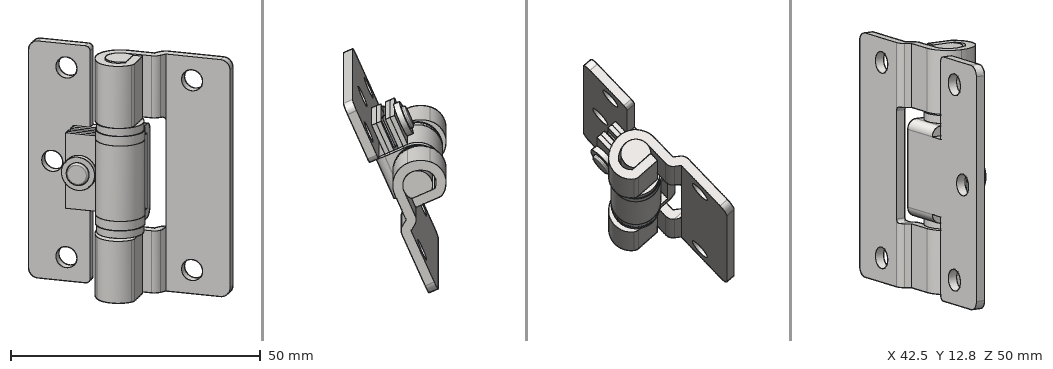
import cadquery as cq
import math

height = 50.0
half_height = height / 2
sheet = 2.0
leaf_left = -21.0
leaf_right = 21.5
corner_radius = 2.0
screw_hole_radius = 2.2
screw_hole_height = 20.0

pin_radius = 3.0
knuckle_radius = pin_radius + sheet
leaf_front = knuckle_radius
leaf_back = leaf_front + sheet

knuckle_bottom = 11.9
curl_depth = 5.8
side_radius = 6.5
side_angle = math.radians(40)
lip_start = 3.7
lip_foot = -2.95
lip_inner = 2.0
lip_outer = lip_inner + sheet
lip_end = 2.2
jog_angle = math.radians(55)
jog_end = 8.0
jog_start = jog_end - sheet / math.sin(jog_angle)
cutout_radius = 0.8
fixed_hole_x = 13.5

ear_inner = 7.95
ear_outer = ear_inner + sheet
moving_inner_edge = -8.0
moving_inner_radius = 1.0
ear_flat = 4.0
moving_hole_x = -13.0
moving_middle_hole_x = -16.0

washer_radius = 4.8
washer_height = 1.65

band = 1.0
half_clamp = ear_inner
inner_band_radius = pin_radius + band
flange_end = -11.5
flange_bottom = 0.0

bolt_x = -8.5
bolt_radius = 2.0
bolt_end_radius = 2.35
bolt_end = -1.95
bolt_rounding = 0.35
nut_radius = 3.5
nut_thickness = 1.25
spring_thickness = 0.35
spring_end = -knuckle_radius
spring_foot = 5.5
spring_crown = 3.6
spring_front = flange_bottom + 2 * band
spring_back = pin_radius


def block(x0, x1, y0, y1, z0, z1):
    return cq.Workplane("XY").box(x1 - x0, y1 - y0, z1 - z0, centered=False).translate((x0, y0, z0))


def z_cylinder(radius, z0, z1):
    return cq.Workplane("XY").workplane(offset=z0).circle(radius).extrude(z1 - z0)


def y_cylinder(radius, x, y0, y1, z=0.0):
    return cq.Workplane("XZ", origin=(x, y0, z)).circle(radius).extrude(y0 - y1)


def drill_screw_holes(leaf, places):
    for x, z in places:
        leaf = leaf.cut(y_cylinder(screw_hole_radius, x, leaf_front, leaf_back, z))
    return leaf


def make_fixed_leaf():
    """Sheet with a jog, curled round the pin and ending in a straight lip."""
    bend_x, bend_y = sheet * math.sin(jog_angle), sheet * math.cos(jog_angle)
    bend_mid_x, bend_mid_y = sheet * math.sin(jog_angle / 2), sheet * math.cos(jog_angle / 2)
    side_centre_x = side_radius - knuckle_radius
    side_sine = math.sin(side_angle)
    bottom_radius = (curl_depth - side_radius * side_sine) / (1 - side_sine)
    bottom_centre = (
        side_centre_x - (side_radius - bottom_radius) * math.cos(side_angle),
        bottom_radius - curl_depth,
    )

    def side_point(inset, angle):
        radius = side_radius - inset
        return (side_centre_x - radius * math.cos(angle), -radius * math.sin(angle))

    def bottom_point(inset, x):
        reach = math.sqrt((bottom_radius - inset)**2 - (x - bottom_centre[0])**2)
        return (x, bottom_centre[1] - reach)

    diagonal = math.sqrt(0.5)
    profile = (
        cq.Workplane("XY", origin=(0, 0, -half_height))
        .moveTo(leaf_right, leaf_back)
        .lineTo(jog_end, leaf_back)
        .threePointArc(
            (jog_end - bend_mid_x, leaf_front + bend_mid_y),
            (jog_end - bend_x, leaf_front + bend_y),
        )
        .lineTo(jog_start, leaf_front)
        .lineTo(0, leaf_front)
        .threePointArc((-knuckle_radius * diagonal, knuckle_radius * diagonal), (-knuckle_radius, 0))
        .threePointArc(side_point(0, side_angle / 2), side_point(0, side_angle))
        .threePointArc(bottom_point(0, bottom_centre[0]), bottom_point(0, lip_start))
        .tangentArcPoint((lip_outer, lip_foot), relative=False)
        .lineTo(lip_outer, lip_end)
        .lineTo(lip_inner, lip_end)
        .lineTo(*bottom_point(sheet, lip_inner))
        .threePointArc(bottom_point(sheet, bottom_centre[0]), side_point(sheet, side_angle))
        .threePointArc(side_point(sheet, side_angle / 2), (-pin_radius, 0))
        .threePointArc((-pin_radius * diagonal, pin_radius * diagonal), (0, pin_radius))
        .lineTo(jog_start, pin_radius)
        .threePointArc(
            (jog_start + bend_mid_x, leaf_front - bend_mid_y),
            (jog_start + bend_x, leaf_front - bend_y),
        )
        .lineTo(jog_end, leaf_front)
        .lineTo(leaf_right, leaf_front)
        .close()
    )
    leaf = profile.extrude(height)
    leaf = leaf.edges("|Y and >X").fillet(corner_radius)
    cutout = block(-knuckle_radius, jog_end, -curl_depth, leaf_back, -knuckle_bottom, knuckle_bottom)
    leaf = leaf.cut(cutout.edges("|Y and >X").fillet(cutout_radius))
    holes = [(fixed_hole_x, side * screw_hole_height) for side in (-1, 1)]
    return drill_screw_holes(leaf, holes)


def make_ear(side):
    """Ear bent forward from the back plate, with the pin hole and a rounded front."""
    outline = (
        z_cylinder(knuckle_radius, ear_inner, ear_outer)
        .union(block(-knuckle_radius, ear_flat, 0, leaf_front, ear_inner, ear_outer))
    )
    bend = (
        cq.Workplane("YZ", origin=(-knuckle_radius, leaf_front, ear_inner))
        .circle(sheet)
        .extrude(knuckle_radius + ear_flat)
        .intersect(block(-knuckle_radius, ear_flat, leaf_front, leaf_back, ear_inner, ear_outer))
    )
    ear = outline.union(bend).cut(z_cylinder(pin_radius, ear_inner, ear_outer))
    return ear if side > 0 else ear.mirror("XY")


def make_moving_leaf():
    leaf = block(leaf_left, moving_inner_edge, leaf_front, leaf_back, -half_height, half_height)
    leaf = leaf.edges("|Y and <X").fillet(corner_radius)
    leaf = leaf.edges("|Y and >X").fillet(moving_inner_radius)
    leaf = leaf.union(block(moving_inner_edge, ear_flat, leaf_front, leaf_back, -ear_inner, ear_inner))
    for side in (-1, 1):
        leaf = leaf.union(make_ear(side))
    holes = [(moving_hole_x, side * screw_hole_height) for side in (-1, 1)]
    return drill_screw_holes(leaf, holes + [(moving_middle_hole_x, 0)])


def make_pin():
    """Round between the ears' outer faces, flattened beyond them for the lips."""
    pin = z_cylinder(pin_radius, -half_height, half_height)
    for z0, z1 in ((-half_height, -ear_outer), (ear_outer, half_height)):
        pin = pin.cut(block(lip_inner, pin_radius, -pin_radius, pin_radius, z0, z1))
    return pin


def make_washer(side):
    washer = z_cylinder(washer_radius, ear_outer, ear_outer + washer_height)
    washer = washer.cut(z_cylinder(pin_radius, ear_outer, ear_outer + washer_height))
    return washer if side > 0 else washer.mirror("XY")


def make_clamp_band(radius, lower_flange):
    """Band wrapped round the pin, its two ends running out as parallel flanges."""
    z_range = (-half_clamp, half_clamp)
    lower_top = lower_flange + band
    wrap = z_cylinder(radius, *z_range).cut(block(-radius, 0, lower_top, radius, *z_range))
    wrap = wrap.union(block(flange_end, 0, lower_flange, lower_top, *z_range))
    wrap = wrap.cut(z_cylinder(radius - band, *z_range))
    wrap = wrap.union(block(flange_end, 0, radius - band, radius, *z_range))
    return wrap.cut(y_cylinder(bolt_radius, bolt_x, flange_bottom, leaf_front))


def make_spring():
    """Thin bowed strip between the inner flanges."""
    crown_back = spring_front + spring_thickness
    foot_front = spring_back - spring_thickness
    spring = (
        cq.Workplane("YZ", origin=(flange_end, 0, 0))
        .polyline([
            (spring_back, -spring_foot),
            (foot_front, -spring_foot),
            (spring_front, -spring_crown),
            (spring_front, spring_crown),
            (foot_front, spring_foot),
            (spring_back, spring_foot),
            (crown_back, spring_crown),
            (crown_back, -spring_crown),
        ])
        .close()
        .extrude(spring_end - flange_end)
    )
    return spring.cut(y_cylinder(bolt_radius, bolt_x, spring_front, spring_back))


def make_nut():
    nut_front = flange_bottom - nut_thickness
    nut = y_cylinder(nut_radius, bolt_x, nut_front, flange_bottom)
    return nut.cut(y_cylinder(bolt_radius, bolt_x, nut_front, flange_bottom))


def make_bolt():
    end = y_cylinder(bolt_end_radius, bolt_x, bolt_end, flange_bottom - nut_thickness)
    end = end.faces("<Y").edges().fillet(bolt_rounding)
    return end.union(y_cylinder(bolt_radius, bolt_x, flange_bottom - nut_thickness, leaf_front))


fixed_leaf = make_fixed_leaf()
moving_leaf = make_moving_leaf()
pin = make_pin()
washers = [make_washer(side) for side in (-1, 1)]
outer_band = make_clamp_band(knuckle_radius, flange_bottom)
inner_band = make_clamp_band(inner_band_radius, flange_bottom + band)
spring = make_spring()
nut = make_nut()
bolt = make_bolt()

result = cq.Compound.makeCompound([
    fixed_leaf.val(),
    moving_leaf.val(),
    pin.val(),
    *[washer.val() for washer in washers],
    outer_band.val(),
    inner_band.val(),
    spring.val(),
    nut.val(),
    bolt.val(),
])